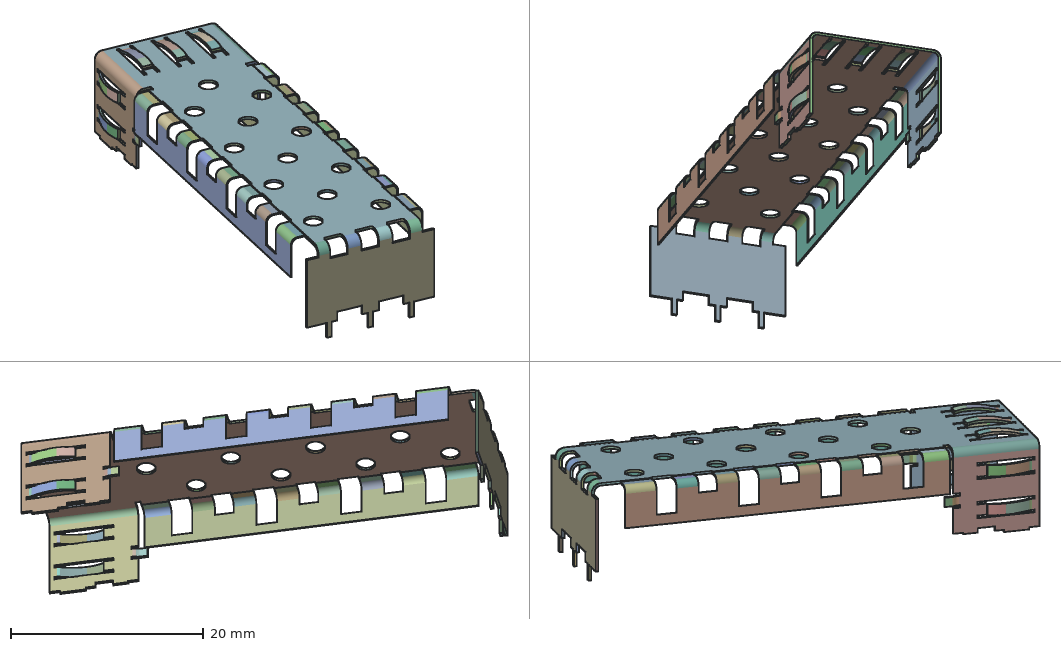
import cadquery as cq
import math


length = 48.7
sheet = 0.3
clear = 0.5

plate_half_width = 6.1
hole_diameter = 2.0
hole_pitch = 9.0
hole_count = 4
center_hole_x = 11.8
outer_hole_y = 3.95

frame_length = 9.45
frame_half_width = 7.25
frame_bend_radius = 0.9
frame_bottom_z = -9.4
foot_start = 1.1
foot_end = 3.9
foot_depth = 0.25
bottom_notch_start = 4.85
bottom_notch_end = 6.75
bottom_notch_height = 0.5
heel_start = 8.4
heel_height = 0.15

relief_width = 0.55
relief_half_inner = 5.55

spring_root = 0.85
spring_root_bend = 0.3
spring_tip = 5.8
spring_rise = 0.6
spring_tip_radius = 5.6
spring_width = 1.2
top_spring_crest = 4.35
side_spring_crest = 3.9
top_spring_pitch = 4.05
side_spring_z = (-2.65, -6.9)
slot_start = 0.55
slot_end = 6.8
slot_width = 0.3

tab_root = 8.85
tab_tip = 10.4
tab_z = -5.65
tab_width = 1.0
tab_jog_length = 0.75
tab_offset = 0.15
tab_notch_depth = 0.75
tab_notch_width = 1.6

rear_bend_radius = 1.0
rear_half_width = 7.45
rear_top_z = -1.2
rear_bottom_z = -9.2
rear_notch_inner = 0.95
rear_notch_outer = 3.9
rear_notch_height = 1.0
pin_width = 0.55
pin_pitch = 4.8
pin_bottom_z = -10.95
bend_window_start = 47.1
bend_window_bottom_z = -1.65
bend_window_width = 2.05
bend_window_pitch = 3.65
bend_window_middle_y = -0.05
bend_window_corner = 0.25

rail_sheet = 0.15
rail_top_z = -0.1
rail_start = frame_length + relief_width
rail_end = 45.55
rail_half_width = 7.75
rail_bend_radius = 0.8
rail_bottom_z = -4.68

window_count = 7
window_start_x = 14.0
window_pitch = hole_pitch / 2
wide_window = 2.2
wide_window_bottom_z = -3.55
narrow_window = 2.0
narrow_window_bottom_z = -1.6
window_plate_notch = 0.2


def block(x_range, y_range, z_range):
    """Box between two limits on each axis."""
    size = [high - low for low, high in (x_range, y_range, z_range)]
    corner = (x_range[0], y_range[0], z_range[0])
    return cq.Workplane("XY").box(*size, centered=False).translate(corner)


def both_sides(body):
    """The body together with its mirror image across Y = 0."""
    return body.add(body.mirror("XZ").vals())


def across(half_width):
    return (-half_width, half_width)


def centered(middle, width):
    return (middle - width / 2, middle + width / 2)


def s_curve(start, end, inflection_x):
    """Two opposite arcs, level at both ends and tangent at the inflection, in the XZ plane."""
    fraction = (inflection_x - start.x) / (end.x - start.x)
    inflection = start + (end - start) * fraction
    first = cq.Edge.makeTangentArc(start, cq.Vector(1, 0, 0), inflection)
    second = cq.Edge.makeTangentArc(inflection, first.tangentAt(1), end)
    return [first, second]


def formed_strip(upper_edges, width):
    """Strip of sheet with the given outer face, centered on Y = 0."""
    down = cq.Vector(0, 0, -sheet)
    lower_edges = [edge.translate(down) for edge in upper_edges]
    start = upper_edges[0].startPoint()
    end = upper_edges[-1].endPoint()
    end_edges = [cq.Edge.makeLine(point, point + down) for point in (start, end)]
    outline = cq.Wire.assembleEdges([*upper_edges, end_edges[1], *lower_edges, end_edges[0]])
    solid = cq.Solid.extrudeLinear(outline, [], cq.Vector(0, width, 0))
    return cq.Workplane(obj=solid).translate((0, -width / 2, 0))


def spring(crest_x):
    """Bowed strip that rises from its root to the crest and ends free at its tip."""
    root = cq.Vector(spring_root, 0, 0)
    crest = cq.Vector(crest_x, 0, spring_rise)
    tail = spring_tip - crest_x
    drop = spring_tip_radius - math.sqrt(spring_tip_radius**2 - tail**2)
    tip = crest + cq.Vector(tail, 0, -drop)
    edges = s_curve(root, crest, spring_root + spring_root_bend)
    edges.append(cq.Edge.makeTangentArc(crest, cq.Vector(1, 0, 0), tip))
    return formed_strip(edges, spring_width)


def latch_tab():
    """Tab that jogs outward from the wall and runs back parallel to it."""
    root = cq.Vector(tab_root, 0, 0)
    jog_end = root + cq.Vector(tab_jog_length, 0, tab_offset)
    tip = cq.Vector(tab_tip, 0, tab_offset)
    edges = s_curve(root, jog_end, tab_root + tab_jog_length / 2)
    edges.append(cq.Edge.makeLine(jog_end, tip))
    return formed_strip(edges, tab_width)


def on_side_walls(strip, z):
    """The strip stood upright on the -Y wall of the frame, and its mirror image."""
    upright = strip.rotate((0, 0, 0), (1, 0, 0), 90)
    return both_sides(upright.translate((0, -frame_half_width, z)))


def plate_and_rear_bend():
    """Top plate carried through the rear bend to the top of the rear wall."""
    inner_radius = rear_bend_radius - sheet
    profile = (
        cq.Workplane("XZ")
        .lineTo(length - rear_bend_radius, 0)
        .radiusArc((length, -rear_bend_radius), rear_bend_radius)
        .lineTo(length, rear_top_z)
        .lineTo(length - sheet, rear_top_z)
        .lineTo(length - sheet, -rear_bend_radius)
        .radiusArc((length - rear_bend_radius, -sheet), -inner_radius)
        .lineTo(0, -sheet)
        .close()
    )
    return profile.extrude(plate_half_width, both=True)


def channel(half_width, height, bend_radius, wall, x_length):
    """Downward channel of bent sheet with its top face at Z = 0, starting at X = 0."""
    outer = block((0, x_length), across(half_width), (-height, 0))
    outer = outer.edges("|X and >Z").fillet(bend_radius)
    inner = block((0, x_length), across(half_width - wall), (-height, -wall))
    inner = inner.edges("|X and >Z").fillet(bend_radius - wall)
    return outer.cut(inner)


def front_frame():
    """Front channel with the stepped lower edges of its side walls."""
    height = foot_depth - frame_bottom_z
    foot_z = -height
    notch_z = frame_bottom_z + bottom_notch_height
    heel_z = frame_bottom_z + heel_height
    full_width = across(frame_half_width)
    frame = channel(frame_half_width, height, frame_bend_radius, sheet, frame_length)
    frame = frame.cut(block((0, foot_start), full_width, (foot_z, frame_bottom_z)))
    frame = frame.cut(block((foot_end, frame_length), full_width, (foot_z, frame_bottom_z)))
    frame = frame.cut(block((bottom_notch_start, bottom_notch_end), full_width, (foot_z, notch_z)))
    return frame.cut(block((heel_start, frame_length), full_width, (foot_z, heel_z)))


def rear_wall():
    """Rear wall with two notches in its lower edge and three solder pins."""
    thickness = (length - sheet, length)
    wall = block(thickness, across(rear_half_width), (rear_bottom_z, rear_top_z))
    notch_z = (rear_bottom_z, rear_bottom_z + rear_notch_height)
    wall = wall.cut(both_sides(block(thickness, (rear_notch_inner, rear_notch_outer), notch_z)))
    for row in (-1, 0, 1):
        wall = wall.union(
            block(thickness, centered(row * pin_pitch, pin_width), (pin_bottom_z, rear_bottom_z))
        )
    return wall


def bend_windows():
    """Cutters for the three windows through the rear bend."""
    cutters = cq.Workplane("XY")
    for row in (-1, 0, 1):
        cutter = block(
            (bend_window_start, length + clear),
            centered(bend_window_middle_y + row * bend_window_pitch, bend_window_width),
            (bend_window_bottom_z, clear),
        )
        cutters = cutters.add(cutter.edges("|Z and <X").fillet(bend_window_corner))
    return cutters


def vent_holes():
    """Cutters for the staggered rows of holes through the plate."""
    points = []
    for column in range(hole_count):
        x = center_hole_x + column * hole_pitch
        points.append((x, 0))
        points.append((x + hole_pitch / 2, outer_hole_y))
        points.append((x + hole_pitch / 2, -outer_hole_y))
    holes = cq.Workplane("XY").pushPoints(points).circle(hole_diameter / 2)
    return holes.extrude(sheet + clear, both=True)


def spring_opening(across_middle):
    """Length and across limits of a spring's opening and of its two side slots."""
    half_strip = spring_width / 2
    return [
        ((spring_root, spring_tip), centered(across_middle, spring_width)),
        ((slot_start, slot_end), (across_middle - half_strip - slot_width, across_middle - half_strip)),
        ((slot_start, slot_end), (across_middle + half_strip, across_middle + half_strip + slot_width)),
    ]


def add_springs(cage):
    """Three springs on the plate and two on each side wall of the frame."""
    for row in (-1, 0, 1):
        y = row * top_spring_pitch
        for x_range, y_range in spring_opening(y):
            cage = cage.cut(block(x_range, y_range, (-sheet - clear, clear)))
        cage = cage.union(spring(top_spring_crest).translate((0, y, 0)))
    for z in side_spring_z:
        for x_range, z_range in spring_opening(z):
            cage = cage.cut(block(x_range, across(frame_half_width + clear), z_range))
        cage = cage.union(on_side_walls(spring(side_spring_crest), z))
    return cage


def add_latch_tabs(cage):
    """A tab in a notch at the rear edge of each side wall."""
    notch_x = (frame_length - tab_notch_depth, frame_length)
    notch = block(notch_x, across(frame_half_width), centered(tab_z, tab_notch_width))
    stem = block(
        (notch_x[0], tab_root),
        (-frame_half_width, sheet - frame_half_width),
        centered(tab_z, tab_width),
    )
    return cage.cut(notch).union(both_sides(stem)).union(on_side_walls(latch_tab(), tab_z))


def relief_slots():
    """Cutters for the slots that part the frame from the rails."""
    slot = block(
        (frame_length, rail_start),
        (relief_half_inner, frame_half_width),
        (-sheet - clear, clear),
    )
    return both_sides(slot)


def rail_windows():
    """Cutters for the windows through both rails and the edges of the plate."""
    cutters = cq.Workplane("XY")
    inner_y = plate_half_width - window_plate_notch
    for index in range(window_count):
        is_wide = index % 2 == 0
        width = wide_window if is_wide else narrow_window
        bottom_z = wide_window_bottom_z if is_wide else narrow_window_bottom_z
        cutter = block(
            centered(window_start_x + index * window_pitch, width),
            (inner_y, rail_half_width + clear),
            (bottom_z, clear),
        )
        cutters = cutters.add(both_sides(cutter).vals())
    return cutters


def cut_all(body, cutters):
    for cutter in cutters.vals():
        body = body.cut(cq.Workplane(obj=cutter))
    return body


def build_cage():
    """Cage of one bent sheet: plate, front frame and rear wall."""
    cage = plate_and_rear_bend().cut(
        block((0, frame_length), across(plate_half_width), (-sheet, 0))
    )
    cage = cage.union(front_frame()).union(rear_wall())
    for cutters in (vent_holes(), bend_windows(), relief_slots(), rail_windows()):
        cage = cut_all(cage, cutters)
    return add_latch_tabs(add_springs(cage))


def build_rail(side):
    """Rail on the +Y side (side = 1) or the -Y side (side = -1), butted against the plate."""
    height = rail_top_z - rail_bottom_z
    rail = channel(rail_half_width, height, rail_bend_radius, rail_sheet, rail_end - rail_start)
    rail = rail.translate((rail_start, 0, rail_top_z))
    removed_y = sorted((side * plate_half_width, -side * rail_half_width))
    other_side = block((rail_start, rail_end), removed_y, (rail_bottom_z, rail_top_z))
    return cut_all(rail.cut(other_side), rail_windows())


cage = build_cage()
rails = [build_rail(side) for side in (1, -1)]
result = cq.Compound.makeCompound([cage.val(), *[rail.solids().val() for rail in rails]])